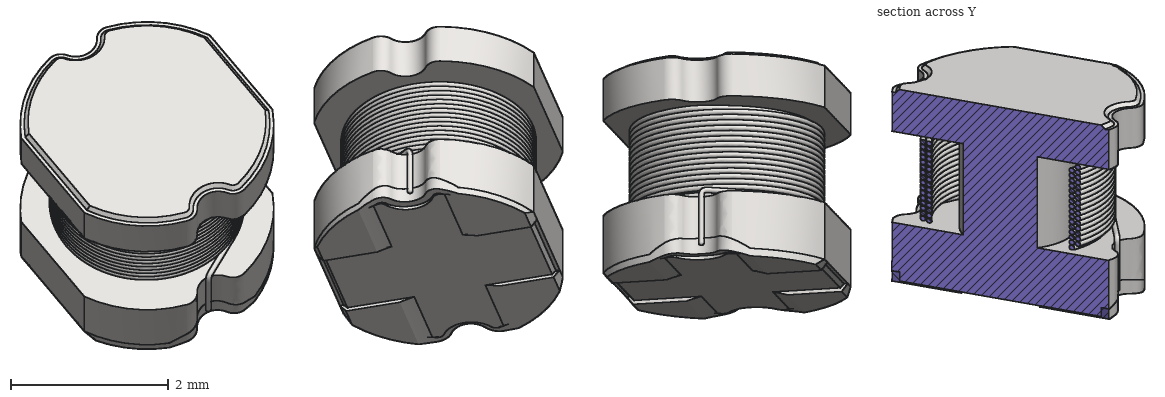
import cadquery as cq
import math

flange_radius = 1.615
depth = 2.9
notch_radius = 0.27
notch_mouth_fillet = 0.19

height = 2.7
upper_flange_bottom = 2.1
lower_flange_top = 0.85
drum_radius = 0.75

rim = 0.05

pad_thickness = 0.05
pad_inner_x = 0.55
arch_half_width = 0.66
boundary_rise = 0.206
underside_rise = 0.1
arch_recess = 2 * rim
pad_bevel_depth = 0.08

wire_diameter = 0.07
outer_layer_radius = 1.21
inner_layer_radius = 1.135
inner_start_z = 0.9
outer_end_z = 0.94
winding_top_z = 2.06
outer_full_turns = 15
crossover_angle = 348
crossover_span = 30
lead_x = 1.39
lead_bend_radius = 0.08
lead_tip_z = 0.2

wire_radius = wire_diameter / 2
core_bottom = pad_thickness
ledge_z = core_bottom + rim
full_width = 2 * flange_radius


def flange_prism(bottom, top, inset=0.0):
    """Prism on the flange outline, shrunk inward by inset."""
    prism = (
        cq.Workplane("XY")
        .circle(flange_radius - inset)
        .extrude(top - bottom)
        .intersect(cq.Workplane("XY").box(full_width, depth - 2 * inset, 2 * (top - bottom)))
    )
    notches = (
        cq.Workplane("XY")
        .pushPoints([(-flange_radius, 0), (flange_radius, 0)])
        .circle(notch_radius + inset)
        .extrude(top - bottom)
    )
    mouth_edges = cq.selectors.BoxSelector(
        (-full_width, -2 * notch_radius, -1), (full_width, 2 * notch_radius, height + 1)
    )
    prism = prism.cut(notches).edges("|Z").edges(mouth_edges).fillet(notch_mouth_fillet - inset)
    return prism.translate((0, 0, bottom))


def arch(base_z, rise):
    """Solid under a shallow arch that spans Y and runs along X."""
    return (
        cq.Workplane("YZ")
        .moveTo(-arch_half_width, base_z)
        .threePointArc((0, base_z + rise), (arch_half_width, base_z))
        .lineTo(arch_half_width, -rim)
        .lineTo(-arch_half_width, -rim)
        .close()
        .extrude(full_width, both=True)
    )


def rim_ring(inset):
    """Band of the given width just inside the flange outline, over the pad heights."""
    ring_top = lower_flange_top / 2
    return flange_prism(0, ring_top).cut(flange_prism(0, ring_top, inset))


def make_core():
    lower_flange = flange_prism(ledge_z, lower_flange_top)
    foot = flange_prism(core_bottom, ledge_z + rim, rim).faces("<Z").chamfer(rim)
    upper_flange = flange_prism(upper_flange_bottom, height - rim)
    cap = flange_prism(height - 2 * rim, height, rim).faces(">Z").chamfer(rim)
    drum = (
        cq.Workplane("XY", origin=(0, 0, lower_flange_top - rim))
        .circle(drum_radius)
        .extrude(upper_flange_bottom - lower_flange_top + 2 * rim)
    )
    core = lower_flange.union(foot).union(drum).union(upper_flange).union(cap)
    return core.cut(arch(ledge_z, boundary_rise).intersect(rim_ring(arch_recess)))


def make_pad(side, core):
    band = arch(ledge_z, boundary_rise).intersect(rim_ring(arch_recess))
    pad = flange_prism(0, ledge_z).union(band).cut(arch(0, underside_rise))
    for flat in (-1, 1):
        edge_y = flat * depth / 2
        bevel = (
            cq.Workplane("YZ")
            .polyline([(edge_y, ledge_z), (edge_y, 0), (edge_y - flat * pad_bevel_depth, 0)])
            .close()
            .extrude(full_width, both=True)
        )
        pad = pad.cut(bevel)
    half = cq.Workplane("XY").box(full_width, full_width, height).translate(
        (side * (pad_inner_x + full_width / 2), 0, 0)
    )
    return pad.intersect(half).cut(core)


def tangent_angle(radius):
    """Angle from the X axis at which a line to the lead leaves a layer of this radius."""
    return math.degrees(math.acos(radius / lead_x))


def layer_point(radius, angle, z):
    return cq.Vector(
        radius * math.cos(math.radians(angle)), radius * math.sin(math.radians(angle)), z
    )


def climb_direction(radius, angle, pitch, left_handed):
    """Unit tangent of a layer at an angle, pointing up the helix."""
    turn = -1 if left_handed else 1
    circumference = 2 * math.pi * radius
    return cq.Vector(
        -turn * circumference * math.sin(math.radians(angle)),
        turn * circumference * math.cos(math.radians(angle)),
        pitch,
    ).normalized()


def layer_path(radius, start_angle, start_z, pitch, rise, left_handed):
    helix = cq.Wire.makeHelix(pitch, rise, radius, lefthand=left_handed)
    return helix.rotate((0, 0, 0), (0, 0, 1), start_angle).translate((0, 0, start_z))


inner_start_angle = 180 - tangent_angle(inner_layer_radius)
inner_end_angle = crossover_angle + crossover_span - 360
inner_turns = outer_full_turns + 1 + (inner_start_angle - inner_end_angle) / 360
inner_rise = winding_top_z - inner_start_z
inner_pitch = inner_rise / inner_turns

outer_end_angle = tangent_angle(outer_layer_radius)
outer_turns = outer_full_turns + (crossover_angle - outer_end_angle) / 360
outer_rise = winding_top_z - outer_end_z
outer_pitch = outer_rise / outer_turns


def make_winding():
    inner = layer_path(
        inner_layer_radius, inner_start_angle, inner_start_z, inner_pitch, inner_rise, True
    )
    outer = layer_path(
        outer_layer_radius, outer_end_angle, outer_end_z, outer_pitch, outer_rise, False
    )
    crossover = cq.Edge.makeSpline(
        [
            layer_point(inner_layer_radius, inner_end_angle, winding_top_z),
            layer_point(outer_layer_radius, crossover_angle, winding_top_z),
        ],
        tangents=[
            climb_direction(inner_layer_radius, inner_end_angle, inner_pitch, True),
            climb_direction(outer_layer_radius, crossover_angle, outer_pitch, False) * -1,
        ],
    )
    path = cq.Wire.assembleEdges([*inner.Edges(), crossover, *outer.Edges()])
    start = layer_point(inner_layer_radius, inner_start_angle, inner_start_z)
    direction = climb_direction(inner_layer_radius, inner_start_angle, inner_pitch, True)
    profile = cq.Workplane(cq.Plane(origin=start, normal=direction)).circle(wire_radius)
    return profile.sweep(cq.Workplane(path), isFrenet=True)


def make_lead(radius, angle, z, pitch, left_handed):
    start = layer_point(radius, angle, z)
    direction = climb_direction(radius, angle, pitch, left_handed) * -1
    run = math.sqrt(lead_x**2 - radius**2)
    bend_start = start + direction * (run - lead_bend_radius)
    corner = start + direction * run
    bend_end = cq.Vector(corner.x, corner.y, corner.z - lead_bend_radius)
    tip = cq.Vector(corner.x, corner.y, lead_tip_z + wire_radius)
    down = cq.Vector(0, 0, -1)
    path = cq.Wire.assembleEdges(
        [
            cq.Edge.makeLine(start, bend_start),
            cq.Edge.makeSpline([bend_start, bend_end], tangents=[direction, down]),
            cq.Edge.makeLine(bend_end, tip),
        ]
    )
    lead = cq.Workplane(cq.Plane(origin=start, normal=direction)).circle(wire_radius)
    lead = lead.sweep(cq.Workplane(path))
    return lead.union(cq.Workplane("XY").sphere(wire_radius).translate(tip))


core = make_core()
pads = [make_pad(side, core) for side in (-1, 1)]
winding = make_winding()
left_lead = make_lead(inner_layer_radius, inner_start_angle, inner_start_z, inner_pitch, True)
right_lead = make_lead(outer_layer_radius, outer_end_angle, outer_end_z, outer_pitch, False)

result = cq.Compound.makeCompound(
    [core.val(), *[pad.val() for pad in pads], winding.val(), left_lead.val(), right_lead.val()]
)